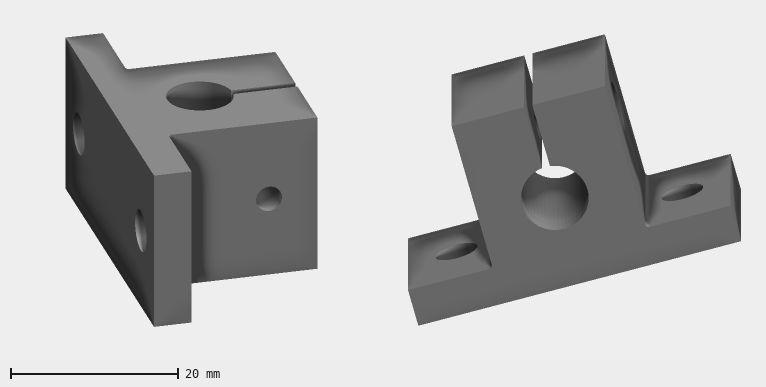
import cadquery as cq

width = 40.0
depth = 23.1
height = 20.0

flange_thickness = 4.65
mount_spacing = 28.0
mount_diameter = 5.2

block_width = 19.0
corner_radius = 0.5
bore_diameter = 8.1
bore_from_back = 11.15
slit_width = 1.0

screw_from_front = 6.0
screw_diameter = 3.2
head_diameter = 6.1
head_depth = 4.0

bottom = -height / 2
screw_y = depth - screw_from_front


def make_body():
    flange = cq.Workplane("XY").box(width, flange_thickness, height, centered=(True, False, True))
    block = cq.Workplane("XY").box(block_width, depth, height, centered=(True, False, True))
    inner_corners = cq.selectors.BoxSelector(
        (-block_width / 2 - corner_radius, flange_thickness - corner_radius, bottom),
        (block_width / 2 + corner_radius, flange_thickness + corner_radius, -bottom),
    )
    return flange.union(block).edges("|Z").edges(inner_corners).fillet(corner_radius)


def make_mounting_holes():
    return (
        cq.Workplane("XZ")
        .pushPoints([(-mount_spacing / 2, 0), (mount_spacing / 2, 0)])
        .circle(mount_diameter / 2)
        .extrude(-flange_thickness)
    )


def make_shaft_clamp():
    bore = (
        cq.Workplane("XY", origin=(0, bore_from_back, bottom))
        .circle(bore_diameter / 2)
        .extrude(height)
    )
    slit = cq.Workplane("XY", origin=(0, bore_from_back, 0)).box(
        slit_width, depth - bore_from_back, height, centered=(True, False, True)
    )
    return bore.union(slit)


def make_screw_hole():
    start = cq.Workplane("YZ", origin=(-block_width / 2, screw_y, 0))
    shank = start.circle(screw_diameter / 2).extrude(block_width)
    head = start.circle(head_diameter / 2).extrude(head_depth)
    return shank.union(head)


result = make_body().cut(make_mounting_holes()).cut(make_shaft_clamp()).cut(make_screw_hole())